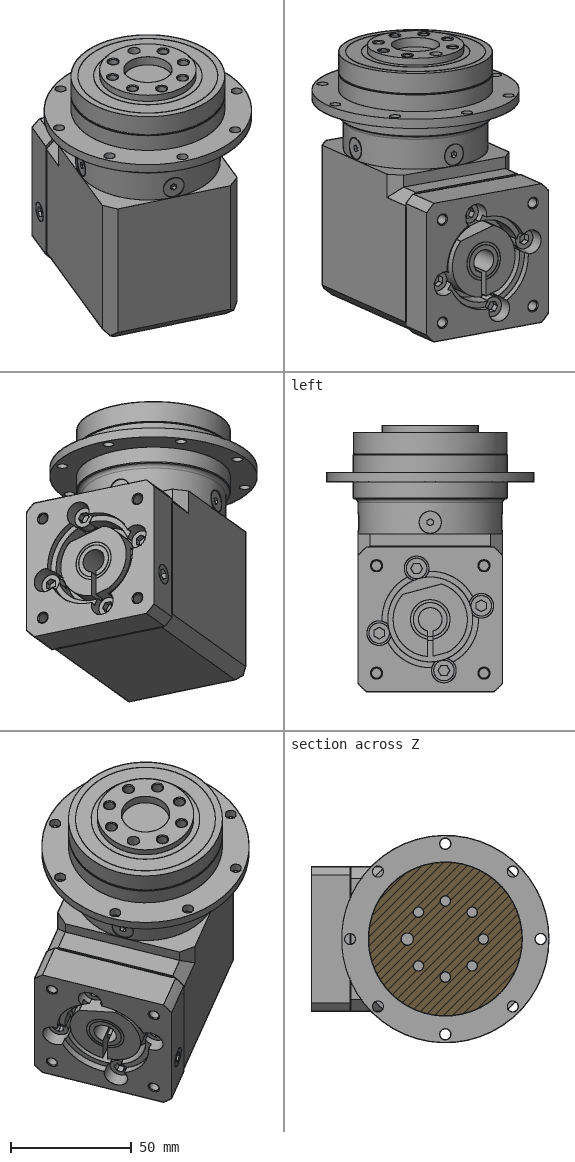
import cadquery as cq
import math

SEAM = 0.1
OVERLAP = 1.0

HOUSING_WIDTH = 60.0
HALF = HOUSING_WIDTH / 2
HOUSING_CHAMFER = 5.0
INPUT_ARM_RISE = 0.4
INPUT_ARM_X = -39.1
COLUMN_TOP = 35.5

PLATE_THICKNESS = 16.0
PLATE_FRONT_X = -55.5
PLATE_CORNER_DIAMETER = 80.0
PLATE_GAP_INSET = 0.4
MOUNT_HOLE_CIRCLE = 63.0
THREAD_DIAMETER = 5.0
THREAD_CORE = 4.2
PLATE_HOLE_DEPTH = 12.0

PILOT_RADIUS = 20.0
PILOT_DEPTH = 3.0
CAVITY_RADIUS = 17.6
CAVITY_DEPTH = 12.0
COLLAR_RADIUS = 15.4
COLLAR_FACE_DEPTH = 3.0
COLLAR_TILT = 15.0
COLLAR_UPPER_FLAT = 13.0
COLLAR_LOWER_FLAT = 15.0
RING_OUTER_RADIUS = 8.2
RING_INNER_RADIUS = 7.0
BORE_RADIUS = 4.9
BORE_DEPTH = 25.0
SLOT_WIDTH = 2.1
SLOT_STEP_RADIUS = 8.7
SLOT_STEP_DEPTH = 6.0

SCREW_CIRCLE_RADIUS = 21.9
COUNTERBORE_RADIUS = 5.1
COUNTERBORE_DEPTH = 10.0
SCREW_HEAD_RADIUS = 4.25
SCREW_HEAD_HEIGHT = 5.0
SCREW_HEX = 4.2
SCREW_HEX_DEPTH = 3.0

SIDE_PLUG_X = -46.9
SIDE_PLUG_Z = -9.9
SIDE_PLUG_RADIUS = 4.1
SIDE_PLUG_HEX = 4.0
SIDE_PLUG_HEX_DEPTH = 3.0

NECK_RADIUS = 30.0
NECK_TOP = 48.4
NECK_PLUG_Z = 40.3
NECK_PLUG_RADIUS = 4.6
NECK_FLAT_DISTANCE = 29.5
NECK_PLUG_HEX = 2.5
NECK_PLUG_HEX_DEPTH = 2.0

DRUM_RADIUS = 31.95
DRUM_BOTTOM = 50.0
DRUM_EDGE = 0.4
DRUM_TOP = 77.5
CAP_RADIUS = 31.9
CAP_BOTTOM = 68.6
GROOVE_WIDTH = 0.4
GROOVE_DEPTH = 0.5
FLANGE_RADIUS = 43.0
FLANGE_BOTTOM = 57.0
FLANGE_THICKNESS = 4.0
FLANGE_HOLE_CIRCLE = 79.0
FLANGE_HOLE_DIAMETER = 4.5
FLANGE_HOLE_COUNT = 8
SEAL_OUTER_RADIUS = 29.0
SEAL_INNER_RADIUS = 22.5

HUB_RADIUS = 20.0
HUB_TOP = 80.5
HUB_BORE_RADIUS = 10.0
HUB_BORE_DEPTH = 4.0
HUB_HOLE_CIRCLE = 31.5
HUB_HOLE_DEPTH = 8.0
HUB_HOLE_COUNT = 8
DOWEL_ANGLE = 180.0
DOWEL_DIAMETER = 5.0


def polar(radius, angle):
    """Point at the given radius and angle in degrees."""
    return radius * math.cos(math.radians(angle)), radius * math.sin(math.radians(angle))


def input_plane(depth):
    """Plane behind the plate face: local x is -Y, local y is Z, normal points out (-X)."""
    return cq.Plane(origin=(PLATE_FRONT_X + depth, 0, 0), xDir=(0, -1, 0), normal=(-1, 0, 0))


def input_disc(radius, start, end, across=0.0, up=0.0):
    """Cylinder along X between two depths behind the plate face, off the axis by -Y and Z."""
    return cq.Workplane(input_plane(end)).center(across, up).circle(radius).extrude(end - start)


def hexagon_diameter(across_flats):
    """Corner-to-corner size of a hexagon."""
    return across_flats / math.cos(math.radians(30))


def tapped_hole(plane, depth):
    """Core hole with its mouth opened to the thread diameter; plane normal points outward."""
    hole = cq.Workplane(plane).circle(THREAD_CORE / 2).extrude(-depth)
    mouth_depth = (THREAD_DIAMETER - THREAD_CORE) / 2
    mouth = (
        cq.Workplane(plane)
        .circle(THREAD_DIAMETER / 2)
        .workplane(offset=-mouth_depth)
        .circle(THREAD_CORE / 2)
        .loft()
    )
    return hole.union(mouth)


def chamfered_box(low, high, edges):
    """Box between two corner points with the selected edges chamfered."""
    size = [b - a for a, b in zip(low, high)]
    box = cq.Workplane("XY").box(*size, centered=False).translate(low)
    return box.edges(edges).chamfer(HOUSING_CHAMFER)


def crossing_block(edges):
    """Half of the square block where the arms cross, chamfered on the selected edges."""
    return chamfered_box((0, -HALF, -HALF), (HALF, HALF, HALF), edges)


def make_housing():
    """Two chamfered arms, with a block for the outer corner where their chamfers meet."""
    arm_top = HALF + INPUT_ARM_RISE
    arm = chamfered_box((INPUT_ARM_X, -HALF, -HALF), (0, HALF, arm_top), "|X")
    column = chamfered_box((-HALF, -HALF, 0), (HALF, HALF, COLUMN_TOP), "|Z")
    block = crossing_block("|X and <Z")
    block = block.intersect(crossing_block("|Y and >X and <Z"))
    block = block.intersect(crossing_block("|Z and >X"))
    return arm.union(column).union(block)


def make_plate():
    """Square plate with turned corners, and a slightly smaller joint behind it."""
    plate = cq.Workplane(input_plane(PLATE_THICKNESS)).rect(HOUSING_WIDTH, HOUSING_WIDTH)
    plate = plate.extrude(PLATE_THICKNESS)
    plate = plate.intersect(input_disc(PLATE_CORNER_DIAMETER / 2, 0, PLATE_THICKNESS))
    joint_end = INPUT_ARM_X - PLATE_FRONT_X + OVERLAP
    joint = (
        cq.Workplane(input_plane(joint_end))
        .rect(HOUSING_WIDTH - 2 * PLATE_GAP_INSET, HOUSING_WIDTH - 2 * PLATE_GAP_INSET)
        .extrude(joint_end - PLATE_THICKNESS + OVERLAP)
        .edges("|X")
        .chamfer(HOUSING_CHAMFER)
    )
    return plate.union(joint)


def make_output():
    """Neck, drum, flange and hub as one turned profile."""
    groove_radius = CAP_RADIUS - GROOVE_DEPTH
    groove_bottom = CAP_BOTTOM - GROOVE_WIDTH
    flange_top = FLANGE_BOTTOM + FLANGE_THICKNESS
    undercut = DRUM_BOTTOM - NECK_TOP
    sweep = math.sqrt(0.5)
    arc_middle = (
        NECK_RADIUS + undercut * (1 - sweep),
        NECK_TOP + undercut * sweep,
    )
    profile = (
        cq.Workplane("XZ")
        .moveTo(0, COLUMN_TOP - OVERLAP)
        .lineTo(NECK_RADIUS - OVERLAP, COLUMN_TOP - OVERLAP)
        .lineTo(NECK_RADIUS - OVERLAP, COLUMN_TOP)
        .lineTo(NECK_RADIUS, COLUMN_TOP)
        .lineTo(NECK_RADIUS, NECK_TOP)
        .threePointArc(arc_middle, (NECK_RADIUS + undercut, DRUM_BOTTOM))
        .lineTo(DRUM_RADIUS, DRUM_BOTTOM + DRUM_EDGE)
        .lineTo(DRUM_RADIUS, FLANGE_BOTTOM)
        .lineTo(FLANGE_RADIUS, FLANGE_BOTTOM)
        .lineTo(FLANGE_RADIUS, flange_top)
        .lineTo(DRUM_RADIUS, flange_top)
        .lineTo(DRUM_RADIUS, groove_bottom)
        .lineTo(groove_radius, groove_bottom)
        .lineTo(groove_radius, CAP_BOTTOM)
        .lineTo(CAP_RADIUS, CAP_BOTTOM)
        .lineTo(CAP_RADIUS, DRUM_TOP)
        .lineTo(SEAL_OUTER_RADIUS, DRUM_TOP)
        .lineTo(SEAL_OUTER_RADIUS, DRUM_TOP - SEAM)
        .lineTo(SEAL_INNER_RADIUS, DRUM_TOP - SEAM)
        .lineTo(SEAL_INNER_RADIUS, DRUM_TOP)
        .lineTo(HUB_RADIUS, DRUM_TOP)
        .lineTo(HUB_RADIUS, HUB_TOP)
        .lineTo(HUB_BORE_RADIUS, HUB_TOP)
        .lineTo(HUB_BORE_RADIUS, HUB_TOP - HUB_BORE_DEPTH)
        .lineTo(0, HUB_TOP - HUB_BORE_DEPTH)
        .close()
    )
    return profile.revolve(360, (0, 0, 0), (0, 1, 0))


def cut_flange_holes(body):
    """Ring of through holes in the mounting flange."""
    holes = (
        cq.Workplane("XY", origin=(0, 0, FLANGE_BOTTOM))
        .polarArray(FLANGE_HOLE_CIRCLE / 2, 0, 360, FLANGE_HOLE_COUNT)
        .circle(FLANGE_HOLE_DIAMETER / 2)
        .extrude(FLANGE_THICKNESS)
    )
    return body.cut(holes)


def cut_hub_holes(body):
    """Ring of tapped holes with one plain dowel hole among them."""
    for index in range(HUB_HOLE_COUNT):
        angle = index * 360 / HUB_HOLE_COUNT
        plane = cq.Plane(origin=(*polar(HUB_HOLE_CIRCLE / 2, angle), HUB_TOP))
        if angle == DOWEL_ANGLE:
            hole = cq.Workplane(plane).circle(DOWEL_DIAMETER / 2).extrude(-HUB_HOLE_DEPTH)
        else:
            hole = tapped_hole(plane, HUB_HOLE_DEPTH)
        body = body.cut(hole)
    return body


def cut_neck_plugs(body):
    """Four spot-faced flats around the neck, each with a hexagon socket."""
    for angle in range(0, 360, 90):
        outward = (*polar(1, angle), 0)
        x, y = polar(NECK_FLAT_DISTANCE, angle)
        flat = cq.Workplane(cq.Plane(origin=(x, y, NECK_PLUG_Z), xDir=(0, 0, 1), normal=outward))
        body = body.cut(flat.circle(NECK_PLUG_RADIUS).extrude(OVERLAP))
        socket = flat.polygon(6, hexagon_diameter(NECK_PLUG_HEX)).extrude(-NECK_PLUG_HEX_DEPTH)
        body = body.cut(socket)
    return body


def cut_side_plug(body):
    """Flush plug in the -Y side of the plate, with a hexagon socket."""
    face = cq.Workplane(
        cq.Plane(origin=(SIDE_PLUG_X, -HALF, SIDE_PLUG_Z), xDir=(0, 0, 1), normal=(0, -1, 0))
    )
    body = body.cut(face.circle(SIDE_PLUG_RADIUS).extrude(-SEAM))
    return body.cut(face.polygon(6, hexagon_diameter(SIDE_PLUG_HEX)).extrude(-SIDE_PLUG_HEX_DEPTH))


def cut_mount_holes(body):
    """Four tapped motor mounting holes in the corners of the plate face."""
    for angle in range(45, 360, 90):
        y, z = polar(MOUNT_HOLE_CIRCLE / 2, angle)
        plane = cq.Plane(origin=(PLATE_FRONT_X, y, z), xDir=(0, -1, 0), normal=(-1, 0, 0))
        body = body.cut(tapped_hole(plane, PLATE_HOLE_DEPTH))
    return body


def cut_motor_pilot(body):
    """Pilot recess for the motor and the deeper cavity around the collar."""
    body = body.cut(input_disc(PILOT_RADIUS, 0, PILOT_DEPTH))
    return body.cut(input_disc(CAVITY_RADIUS, 0, CAVITY_DEPTH))


def make_collar():
    """Clamping collar with two tilted flats."""
    collar = input_disc(COLLAR_RADIUS, COLLAR_FACE_DEPTH, CAVITY_DEPTH)
    flats = (
        cq.Workplane(input_plane(CAVITY_DEPTH))
        .transformed(rotate=(0, 0, COLLAR_TILT))
        .center(0, (COLLAR_UPPER_FLAT - COLLAR_LOWER_FLAT) / 2)
        .rect(2 * COLLAR_RADIUS, COLLAR_UPPER_FLAT + COLLAR_LOWER_FLAT)
        .extrude(CAVITY_DEPTH)
    )
    return collar.intersect(flats)


def cut_slot_and_bore(body):
    """Seam ring around the bushing, clamping slot in three depths, and the shaft bore."""
    ring_depth = COLLAR_FACE_DEPTH + SEAM
    ring = input_disc(RING_OUTER_RADIUS, COLLAR_FACE_DEPTH, ring_depth)
    ring = ring.cut(input_disc(RING_INNER_RADIUS, COLLAR_FACE_DEPTH, ring_depth))
    body = body.cut(ring)
    slot_steps = (
        (0, RING_INNER_RADIUS, BORE_DEPTH),
        (RING_INNER_RADIUS, SLOT_STEP_RADIUS, SLOT_STEP_DEPTH),
        (SLOT_STEP_RADIUS, COLLAR_RADIUS, CAVITY_DEPTH - COLLAR_FACE_DEPTH),
    )
    for start_radius, end_radius, depth in slot_steps:
        length = end_radius - start_radius
        slot = (
            cq.Workplane(input_plane(COLLAR_FACE_DEPTH + depth))
            .center(0, -start_radius - length / 2)
            .rect(SLOT_WIDTH, length)
            .extrude(depth)
        )
        body = body.cut(slot)
    return body.cut(input_disc(BORE_RADIUS, COLLAR_FACE_DEPTH, COLLAR_FACE_DEPTH + BORE_DEPTH))


def cut_screws(body):
    """Cap screws standing in counterbores, with the pattern turned like the collar."""
    for turn in range(0, 360, 90):
        angle = COLLAR_TILT + turn
        across, up = polar(SCREW_CIRCLE_RADIUS, angle)
        head_top = COUNTERBORE_DEPTH - SCREW_HEAD_HEIGHT
        pocket = input_disc(COUNTERBORE_RADIUS, 0, COUNTERBORE_DEPTH, across, up)
        head = input_disc(SCREW_HEAD_RADIUS, head_top, COUNTERBORE_DEPTH, across, up)
        socket = (
            cq.Workplane(input_plane(head_top + SCREW_HEX_DEPTH))
            .center(across, up)
            .transformed(rotate=(0, 0, turn + 90))
            .polygon(6, hexagon_diameter(SCREW_HEX))
            .extrude(SCREW_HEX_DEPTH)
        )
        body = body.cut(pocket).union(head.cut(socket))
    return body


body = make_housing().union(make_plate()).union(make_output())
body = cut_flange_holes(body)
body = cut_hub_holes(body)
body = cut_neck_plugs(body)
body = cut_side_plug(body)
body = cut_mount_holes(body)
body = cut_motor_pilot(body)
body = cut_screws(body)
body = body.union(make_collar())
result = cut_slot_and_bore(body).solids()